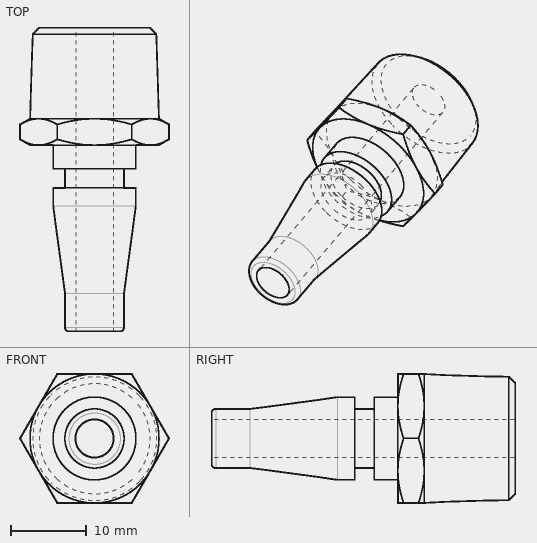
import cadquery as cq
import math

length = 40.0
bore_diameter = 5.0

tip_radius = 7.8 / 2
shoulder_radius = 10.9 / 2
tip_fillet = 0.5
tip_length = 5.0
taper_end = 16.5
groove_start = 18.9
groove_end = 21.4

hex_across_flats = 17.0
hex_start = 24.5
hex_end = 28.0
hex_chamfer_angle = 30.0

thread_base_radius = hex_across_flats / 2
thread_taper = 1 / 16
thread_chamfer = 0.9


def thread_radius(y):
    return thread_base_radius - (y - hex_end) * thread_taper / 2


def revolve_about_y(profile):
    return profile.close().revolve(360, (0, 0, 0), (0, 1, 0))


def make_plug():
    profile = (
        cq.Workplane("XY")
        .lineTo(tip_radius, 0)
        .lineTo(tip_radius, tip_length)
        .lineTo(shoulder_radius, taper_end)
        .lineTo(shoulder_radius, groove_start)
        .lineTo(tip_radius, groove_start)
        .lineTo(tip_radius, groove_end)
        .lineTo(shoulder_radius, groove_end)
        .lineTo(shoulder_radius, hex_start)
        .lineTo(0, hex_start)
    )
    return revolve_about_y(profile).faces("<Y").edges().fillet(tip_fillet)


def make_hex_collar():
    flat_radius = hex_across_flats / 2
    corner_radius = flat_radius / math.cos(math.pi / 6)
    chamfer_depth = (corner_radius - flat_radius) * math.tan(math.radians(hex_chamfer_angle))
    prism = (
        cq.Workplane("XZ", origin=(0, hex_start, 0))
        .polygon(6, 2 * corner_radius)
        .extrude(hex_start - hex_end)
    )
    chamfer_envelope = revolve_about_y(
        cq.Workplane("XY")
        .moveTo(0, hex_start)
        .lineTo(flat_radius, hex_start)
        .lineTo(corner_radius, hex_start + chamfer_depth)
        .lineTo(corner_radius, hex_end - chamfer_depth)
        .lineTo(flat_radius, hex_end)
        .lineTo(0, hex_end)
    )
    return prism.intersect(chamfer_envelope)


def make_thread_body():
    chamfer_start = length - thread_chamfer
    profile = (
        cq.Workplane("XY")
        .moveTo(0, hex_end)
        .lineTo(thread_base_radius, hex_end)
        .lineTo(thread_radius(chamfer_start), chamfer_start)
        .lineTo(thread_radius(chamfer_start) - thread_chamfer, length)
        .lineTo(0, length)
    )
    return revolve_about_y(profile)


bore = cq.Workplane("XZ").circle(bore_diameter / 2).extrude(-length)

result = make_plug().union(make_hex_collar()).union(make_thread_body()).cut(bore)